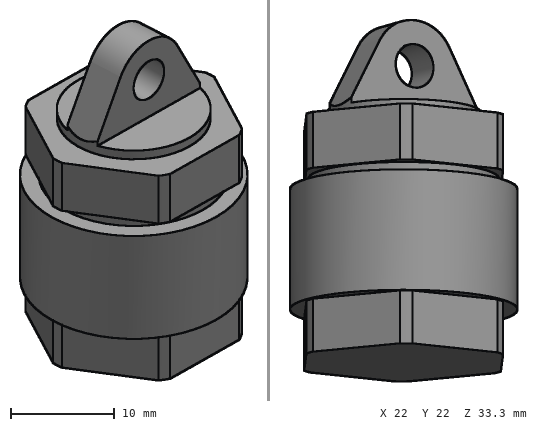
import cadquery as cq
import math

lower_hex_top = 5.2
body_top = 17.0
neck_top = 18.05
upper_hex_top = 23.53
disc_top = 24.53
overall_height = 33.28

body_diameter = 22.0
neck_diameter = 18.4
disc_diameter = 14.88

hex_across_flats = 19.0
hex_corner_diameter = 21.3

lug_thickness = 4.05
lug_radius = 4.5
hole_diameter = 4.25
hole_height = overall_height - lug_radius


def cylinder(diameter, bottom, top):
    return cq.Workplane("XY").workplane(offset=bottom).circle(diameter / 2).extrude(top - bottom)


def hexagon(bottom, top):
    """Hexagonal prism with two flats facing +X and -X and eased corners."""
    across_corners = hex_across_flats / math.cos(math.radians(30))
    prism = (
        cq.Workplane("XY")
        .workplane(offset=bottom)
        .transformed(rotate=(0, 0, 90))
        .polygon(6, across_corners)
        .extrude(top - bottom)
    )
    return prism.intersect(cylinder(hex_corner_diameter, bottom, top))


def lug():
    """Tapered eye: straight sides tangent to the rounded top, ends trimmed to the disc."""
    base_half_width = disc_diameter / 2
    base_drop = hole_height - disc_top
    base_distance = math.hypot(base_half_width, base_drop)
    tangent_angle = math.acos(lug_radius / base_distance) - math.atan2(base_drop, base_half_width)
    tangent_y = lug_radius * math.cos(tangent_angle)
    tangent_z = hole_height + lug_radius * math.sin(tangent_angle)
    plate = (
        cq.Workplane("YZ")
        .moveTo(-base_half_width, disc_top)
        .lineTo(base_half_width, disc_top)
        .lineTo(tangent_y, tangent_z)
        .threePointArc((0, overall_height), (-tangent_y, tangent_z))
        .close()
        .extrude(lug_thickness / 2, both=True)
    )
    hole = (
        cq.Workplane("YZ")
        .center(0, hole_height)
        .circle(hole_diameter / 2)
        .extrude(lug_thickness, both=True)
    )
    return plate.intersect(cylinder(disc_diameter, disc_top, overall_height)).cut(hole)


result = (
    hexagon(0, lower_hex_top)
    .union(cylinder(body_diameter, lower_hex_top, body_top))
    .union(cylinder(neck_diameter, body_top, neck_top))
    .union(hexagon(neck_top, upper_hex_top))
    .union(cylinder(disc_diameter, upper_hex_top, disc_top))
    .union(lug())
)